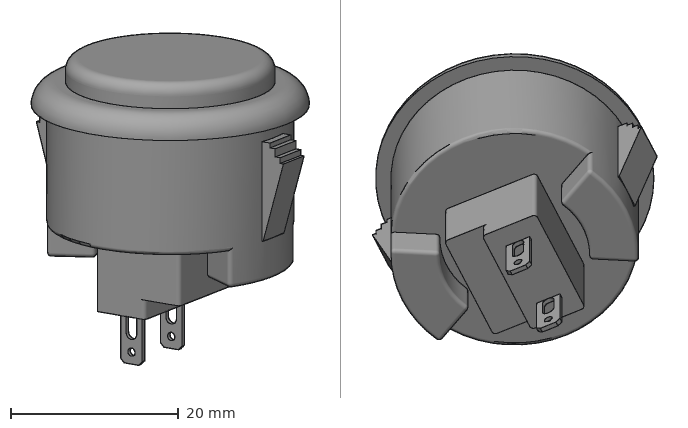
import cadquery as cq
import math

TOTAL_HEIGHT = 37.2
CAP_TOP = 5.8
BEZEL_TOP = 2.83
BODY_BOTTOM = -14.7
FOOT_BOTTOM = -19.2
SWITCH_STEP_BOTTOM = -22.45
SWITCH_BOTTOM = -24.85
TERMINAL_BOTTOM = CAP_TOP - TOTAL_HEIGHT

EDGE_ROUND = 0.5

CAP_DIAMETER = 25.0
CAP_ROUND = 1.5

BEZEL_RADIUS = 33.2 / 2
BODY_RADIUS = 29.5 / 2
RIM_TOP = BODY_BOTTOM + EDGE_ROUND

FOOT_INNER_RADIUS = 8.93
FOOT_HALF_ANGLE = 28

LATCH_SPAN = 35.3
LATCH_WIDTH = 4.5
LATCH_ROOT_DEPTH = 1.1
LATCH_ROOT_X = BODY_RADIUS - LATCH_ROOT_DEPTH
LATCH_STEPS = [(15.75, -1.95), (16.48, -2.53), (17.2, -3.55), (LATCH_SPAN / 2, -4.25)]

SWITCH_LENGTH = 12.0
SWITCH_WIDTH = 14.02
SWITCH_STEP_X = 1.05

TERMINAL_X = -2.53
TERMINAL_SPACING = 8.6
TERMINAL_WIDTH = 3.1
TERMINAL_THICKNESS = 0.55
TERMINAL_CHAMFER = 0.52
SLOT_WIDTH = 1.5
SLOT_LENGTH = 3.5
EYE_DIAMETER = 1.0
EYE_HEIGHT = 1.5


def make_cap():
    """Push button: a disc standing on the bezel, with a rounded top rim."""
    base = cq.Workplane("XY", origin=(0, 0, BEZEL_TOP))
    disc = base.circle(CAP_DIAMETER / 2).extrude(CAP_TOP - BEZEL_TOP)
    return disc.faces(">Z").edges().fillet(CAP_ROUND)


def make_bezel():
    """Flange whose whole outer side is a quarter round."""
    flat_radius = BEZEL_RADIUS - BEZEL_TOP
    diagonal = BEZEL_TOP * math.sqrt(0.5)
    return (
        cq.Workplane("XZ")
        .lineTo(BEZEL_RADIUS, 0)
        .threePointArc((flat_radius + diagonal, diagonal), (flat_radius, BEZEL_TOP))
        .lineTo(0, BEZEL_TOP)
        .close()
        .revolve(360, (0, 0), (0, 1))
    )


def polar(radius, degrees):
    """Point in the XY plane at a radius and an angle from +X."""
    angle = math.radians(degrees)
    return (radius * math.cos(angle), radius * math.sin(angle))


def make_foot(direction):
    """Annular sector rooted inside the barrel, centred on the given angle from +X."""
    start = direction - FOOT_HALF_ANGLE
    end = direction + FOOT_HALF_ANGLE
    sector = (
        cq.Workplane("XY", origin=(0, 0, RIM_TOP))
        .moveTo(*polar(FOOT_INNER_RADIUS, start))
        .lineTo(*polar(BODY_RADIUS, start))
        .threePointArc(polar(BODY_RADIUS, direction), polar(BODY_RADIUS, end))
        .lineTo(*polar(FOOT_INNER_RADIUS, end))
        .threePointArc(polar(FOOT_INNER_RADIUS, direction), polar(FOOT_INNER_RADIUS, start))
        .close()
        .extrude(FOOT_BOTTOM - RIM_TOP)
    )
    return sector.edges("|Z or <Z").fillet(EDGE_ROUND)


def make_body():
    """Barrel with a rounded lower rim and two feet that interrupt the rim."""
    body = cq.Workplane("XY").circle(BODY_RADIUS).extrude(BODY_BOTTOM)
    body = body.faces("<Z").edges().fillet(EDGE_ROUND)
    for direction in (0, 180):
        body = body.union(make_foot(direction))
    return body


def make_latch():
    """Stepped wedge on the +X side, sloping in to the barrel at its bottom."""
    outline = cq.Workplane("XZ").moveTo(LATCH_ROOT_X, RIM_TOP)
    for outer_x, step_top in LATCH_STEPS:
        outline = outline.vLineTo(step_top).hLineTo(outer_x)
    outline = outline.lineTo(BODY_RADIUS, RIM_TOP).close()
    return outline.extrude(LATCH_WIDTH / 2, both=True)


def make_housing():
    """Barrel, bezel and both latches in one piece."""
    latch = make_latch()
    return make_body().union(make_bezel()).union(latch).union(latch.mirror("YZ"))


def make_switch_block():
    """Block under the barrel, stepped up on its +X side."""
    half_length = SWITCH_LENGTH / 2
    return (
        cq.Workplane("XZ")
        .moveTo(-half_length, BODY_BOTTOM)
        .hLineTo(half_length)
        .vLineTo(SWITCH_STEP_BOTTOM)
        .hLineTo(SWITCH_STEP_X)
        .vLineTo(SWITCH_BOTTOM)
        .hLineTo(-half_length)
        .close()
        .extrude(SWITCH_WIDTH / 2, both=True)
        .edges("|Z")
        .fillet(EDGE_ROUND)
    )


def make_terminal(y):
    """Blade centred at the given Y, with chamfered tip corners, a slot and an eye."""
    height = SWITCH_BOTTOM - TERMINAL_BOTTOM
    middle_z = (SWITCH_BOTTOM + TERMINAL_BOTTOM) / 2
    blade = (
        cq.Workplane("XZ")
        .rect(TERMINAL_WIDTH, height)
        .extrude(TERMINAL_THICKNESS / 2, both=True)
        .edges("|Y and <Z")
        .chamfer(TERMINAL_CHAMFER)
    )
    slot = (
        cq.Workplane("XZ")
        .center(0, (height - SLOT_LENGTH) / 2)
        .slot2D(SLOT_LENGTH, SLOT_WIDTH, 90)
        .extrude(TERMINAL_THICKNESS, both=True)
    )
    eye = (
        cq.Workplane("XZ")
        .center(0, EYE_HEIGHT - height / 2)
        .circle(EYE_DIAMETER / 2)
        .extrude(TERMINAL_THICKNESS, both=True)
    )
    return blade.cut(slot).cut(eye).translate((TERMINAL_X, y, middle_z))


def make_switch():
    """Switch block with its two terminals."""
    switch = make_switch_block()
    for side in (-1, 1):
        switch = switch.union(make_terminal(side * TERMINAL_SPACING / 2))
    return switch


cap = make_cap()
housing = make_housing()
switch = make_switch()
result = cq.Compound.makeCompound([body.solids().val() for body in (cap, housing, switch)])